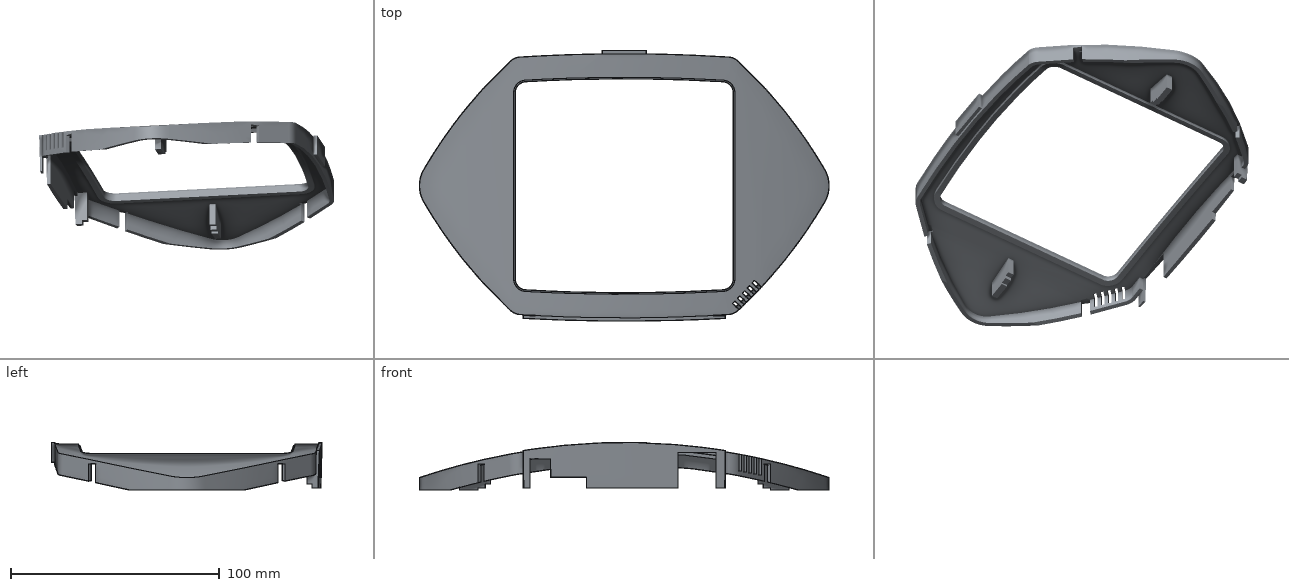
import cadquery as cq
import math

LENGTH = 196.37
WIDTH = 129.79
HEIGHT = 22.83
HALF_LENGTH = LENGTH / 2
HALF_WIDTH = WIDTH / 2

RAIL_STEP = 0.6
CROWN_Z = HEIGHT - RAIL_STEP
DOME_RADIUS = 305.0
DOME_AXIS_Z = CROWN_Z - DOME_RADIUS
SKIRT_DEPTH = 10.25
SHELL_THICKNESS = 2.4
EMBED = SHELL_THICKNESS / 2
WALL = 2.0

BAR_MID_Y = 63.3
BAR_END = (50.5, 61.7)
CORNER_MID = (53.1, 60.8)
CORNER_END = (55.2, 59.1)
WING_MID = (77.5, 35.0)
WING_END = (95.6, 8.6)

WINDOW_HALF_X = 53.0
WINDOW_MID_Y = 52.0
WINDOW_CORNER_Y = 50.3
WINDOW_RADIUS = 6.0
LIP_WIDTH = 0.8
LIP_DROP = 0.9
COLLAR_WALL = 2.0
COLLAR_DEPTH = 4.1

RAIL_HALF_X = 48.4
RAIL_SAG = 1.2
RAIL_INNER_Y = 62.2
RAIL_DRAFT = 1.5
RAIL_BOTTOM_Z = 1.0
LEFT_LEG_X = -45.1
LEFT_NOTCH_X = -35.3
LEFT_NOTCH_TOP = 15.0
LEFT_STEP_X = -18.2
LEFT_STEP_Z = 6.1
RIGHT_NOTCH_X = 25.8
RIGHT_NOTCH_TOP = 17.9
RIGHT_LEG_X = 43.9
RELIEF_BACK_Y = 58.0

LEG_BACK_Y = 60.0
LEG_TOE_Y = 57.6
LEG_TOE_Z = 2.8

TAB_HALF_X = 10.6
TAB_THICKNESS = 1.7
TAB_BOTTOM_Z = 13.3

SKIRT_SLOT_CENTER = (68.6, 45.4)
SKIRT_SLOT_WIDTH = 4.4
SKIRT_SLOT_ANGLE = 45.0
SKIRT_SLOT_TOP = 12.6
SKIRT_SLOT_DEPTH = 6.0

VENT_COUNT = 5
VENT_FIRST = (55.6, -58.8)
VENT_PITCH = 3.4
VENT_ANGLE = 46.5
VENT_WIDTH = 1.6
VENT_REACH = 4.3
VENT_SILL = 8.05

RIB_THICKNESS = 3.0
RIB_OUTER_X = 79.0
RIB_STEPS = ((70.0, 0.0), (66.6, 1.0), (64.0, 2.8))


def dome_z(x, offset=0.0):
    """Height of the dome, moved inward by offset, at x."""
    return DOME_AXIS_Z + math.sqrt((DOME_RADIUS - offset) ** 2 - x ** 2)


def dome(offset=0.0):
    """Solid cylinder under the dome surface, moved inward by offset."""
    plane = cq.Workplane("XZ", origin=(0, WIDTH, DOME_AXIS_Z))
    return plane.circle(DOME_RADIUS - offset).extrude(2 * WIDTH)


def block(x0, x1, y0, y1, z0, z1):
    """Box between the given limits."""
    return cq.Workplane("XY").box(x1 - x0, y1 - y0, z1 - z0, centered=False).translate((x0, y0, z0))


def outline():
    """Six-sided outline of bowed edges with rounded corners."""
    def at(point, sx, sy):
        return (sx * point[0], sy * point[1])

    sketch = cq.Workplane("XY").moveTo(*at(BAR_END, -1, 1))
    sketch = sketch.threePointArc((0, BAR_MID_Y), BAR_END)
    for side in (1, -1):
        sketch = sketch.threePointArc(at(CORNER_MID, side, side), at(CORNER_END, side, side))
        sketch = sketch.threePointArc(at(WING_MID, side, side), at(WING_END, side, side))
        sketch = sketch.threePointArc((side * HALF_LENGTH, 0), at(WING_END, side, -side))
        sketch = sketch.threePointArc(at(WING_MID, side, -side), at(CORNER_END, side, -side))
        sketch = sketch.threePointArc(at(CORNER_MID, side, -side), at(BAR_END, side, -side))
        if side == 1:
            sketch = sketch.threePointArc((0, -BAR_MID_Y), at(BAR_END, -1, -1))
    return sketch.close()


def window_prism(inset=0.0):
    """Bowed rectangle with rounded corners, moved inward by inset."""
    half_x = WINDOW_HALF_X - inset
    mid_y = WINDOW_MID_Y - inset
    corner_y = WINDOW_CORNER_Y - inset
    return (
        cq.Workplane("XY")
        .moveTo(-half_x, corner_y)
        .threePointArc((0, mid_y), (half_x, corner_y))
        .lineTo(half_x, -corner_y)
        .threePointArc((0, -mid_y), (-half_x, -corner_y))
        .close()
        .extrude(HEIGHT)
        .edges("|Z")
        .fillet(WINDOW_RADIUS - inset)
    )


def make_shell():
    """Domed plate with a skirt around its edge and a collar around the window."""
    body = outline().extrude(HEIGHT).intersect(dome())
    cavity = outline().offset2D(-WALL).extrude(HEIGHT)
    relief = block(LEFT_LEG_X, RIGHT_LEG_X, -RAIL_INNER_Y, -RELIEF_BACK_Y, 0, HEIGHT)
    collar = window_prism(-COLLAR_WALL).intersect(dome(EMBED)).cut(dome(COLLAR_DEPTH))
    return body.cut(cavity.union(relief).intersect(dome(SHELL_THICKNESS))).union(collar)


def trim_skirt(body):
    """Cut the skirt parallel to the dome."""
    return body.cut(dome(SKIRT_DEPTH))


def cut_window(body):
    """Window with a narrow lip just below the dome surface."""
    above_lip = window_prism().cut(dome(LIP_DROP))
    return body.cut(above_lip).cut(window_prism(LIP_WIDTH))


def make_rail():
    """Drafted front rail with two legs and a stepped lower edge."""
    end_y = -HALF_WIDTH + RAIL_SAG
    bowed = (
        cq.Workplane("XY", origin=(0, 0, HEIGHT))
        .moveTo(-HALF_LENGTH, 0)
        .lineTo(-RAIL_HALF_X, end_y)
        .threePointArc((0, -HALF_WIDTH), (RAIL_HALF_X, end_y))
        .lineTo(HALF_LENGTH, 0)
        .close()
        .extrude(-HEIGHT, taper=RAIL_DRAFT)
    )
    top_end = dome_z(RAIL_HALF_X, -RAIL_STEP)
    face = (
        cq.Workplane("XZ", origin=(0, -RAIL_INNER_Y, 0))
        .moveTo(-RAIL_HALF_X, top_end)
        .threePointArc((0, HEIGHT), (RAIL_HALF_X, top_end))
        .lineTo(RAIL_HALF_X, RAIL_BOTTOM_Z)
        .lineTo(RIGHT_LEG_X, RAIL_BOTTOM_Z)
        .lineTo(RIGHT_LEG_X, RIGHT_NOTCH_TOP)
        .lineTo(RIGHT_NOTCH_X, RIGHT_NOTCH_TOP)
        .lineTo(RIGHT_NOTCH_X, RAIL_BOTTOM_Z)
        .lineTo(LEFT_STEP_X, RAIL_BOTTOM_Z)
        .lineTo(LEFT_STEP_X, LEFT_STEP_Z)
        .lineTo(LEFT_NOTCH_X, LEFT_STEP_Z)
        .lineTo(LEFT_NOTCH_X, LEFT_NOTCH_TOP)
        .lineTo(LEFT_LEG_X, LEFT_NOTCH_TOP)
        .lineTo(LEFT_LEG_X, RAIL_BOTTOM_Z)
        .lineTo(-RAIL_HALF_X, RAIL_BOTTOM_Z)
        .close()
        .extrude(HALF_WIDTH)
    )
    above_shell = outline().extrude(HEIGHT).cut(dome())
    return bowed.intersect(face).cut(above_shell)


def cut_rail_notches(body):
    """Carry the two rail notches through the front edge of the shell."""
    front = -HALF_WIDTH
    back = -RAIL_INNER_Y
    body = body.cut(block(LEFT_LEG_X, LEFT_NOTCH_X, front, back, 0, LEFT_NOTCH_TOP))
    return body.cut(block(RIGHT_NOTCH_X, RIGHT_LEG_X, front, back, 0, RIGHT_NOTCH_TOP))


def make_leg_web():
    """Stepped web behind the left rail leg, reaching up into the shell."""
    top = dome_z(RAIL_HALF_X, EMBED)
    heel = block(-RAIL_HALF_X, LEFT_LEG_X, -RAIL_INNER_Y, -LEG_BACK_Y, RAIL_BOTTOM_Z, top)
    toe = block(-RAIL_HALF_X, LEFT_LEG_X, -LEG_BACK_Y, -LEG_TOE_Y, LEG_TOE_Z, top)
    return heel.union(toe)


def make_tab():
    """Flat tab on the outside of the rear bar."""
    return block(-TAB_HALF_X, TAB_HALF_X, HALF_WIDTH - TAB_THICKNESS, HALF_WIDTH, TAB_BOTTOM_Z, HEIGHT)


def cut_skirt_slots(body):
    """One slot through each of the four wing skirts, open at the bottom."""
    slot = cq.Workplane("XY").box(SKIRT_SLOT_DEPTH, SKIRT_SLOT_WIDTH, 2 * SKIRT_SLOT_TOP)
    for sx in (1, -1):
        for sy in (1, -1):
            turned = slot.rotate((0, 0, 0), (0, 0, 1), sx * sy * SKIRT_SLOT_ANGLE)
            body = body.cut(turned.translate((sx * SKIRT_SLOT_CENTER[0], sy * SKIRT_SLOT_CENTER[1], 0)))
    return body


def cut_vents(body):
    """Row of slits across the corner between the shell and its skirt."""
    angle = math.radians(VENT_ANGLE)
    for index in range(VENT_COUNT):
        x = VENT_FIRST[0] + index * VENT_PITCH * math.cos(angle)
        y = VENT_FIRST[1] + index * VENT_PITCH * math.sin(angle)
        slit = (
            cq.Workplane("XY")
            .box(VENT_WIDTH, 2 * VENT_REACH, HEIGHT, centered=(True, True, False))
            .rotate((0, 0, 0), (0, 0, 1), VENT_ANGLE)
            .translate((x, y, dome_z(x) - VENT_SILL))
        )
        body = body.cut(slit)
    return body


def make_ribs():
    """Stepped rib under each wing, rising into the shell."""
    half = RIB_THICKNESS / 2
    outer = RIB_OUTER_X
    rib = None
    for inner, bottom in RIB_STEPS:
        step = block(inner, outer, -half, half, bottom, HEIGHT)
        rib = step if rib is None else rib.union(step)
        outer = inner
    rib = rib.intersect(dome(EMBED))
    return rib.union(rib.mirror("YZ"))


shell = cut_window(trim_skirt(make_shell()))
shell = cut_skirt_slots(shell)
shell = cut_vents(shell)
shell = shell.union(make_rail())
shell = cut_rail_notches(shell)
result = shell.union(make_leg_web()).union(make_tab()).union(make_ribs())